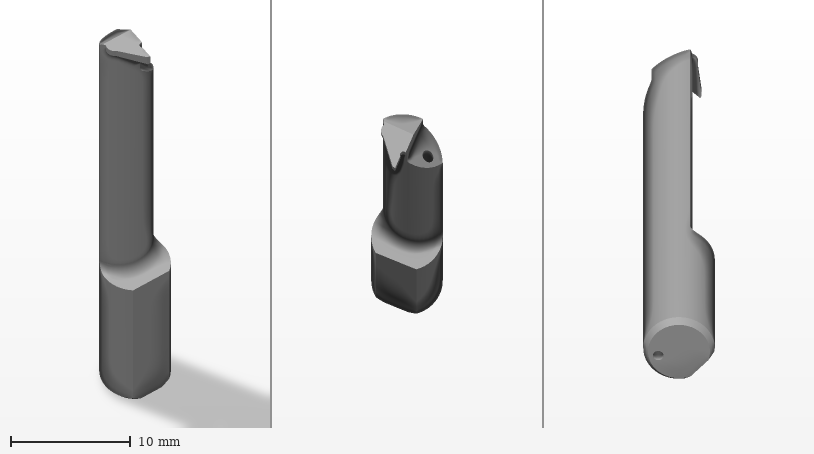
import cadquery as cq
import math

length = 45.0
shank_radius = 2.992
flat_x = 2.362
foot_chamfer_height = 0.6
foot_chamfer_width = 0.4

shoulder_z = 15.0
neck_radius = 2.948
neck_center_x = -2.48
neck_fillet = 0.8

head_height = 1.0
head_bottom_z = length - head_height
head_chamfer = 2.05
rake_y = 0.202
tip_rake_y = -0.1
step_start_x = 0.75
step_middle = (1.0, -0.2)
step_end_x = 1.2
tip_relief_x = 0.1
tip_bottom_y = -0.35
head_heel = (0.2, -2.05)
heel_middle = (-0.338, -2.48)
heel_end_x = -0.788
top_relief_angle = 2.5
bottom_relief_angle = 5.0

runout_z = 38.2
runout_y = 2.7
runout_angle = 48.0
runout_fillet = 0.9

hole_x = -1.0
hole_y = 1.5
hole_diameter = 0.9

margin = 4.5
reach = shank_radius + margin


def make_bar():
    bar = (
        cq.Workplane("XY")
        .circle(shank_radius)
        .extrude(length)
        .faces("<Z")
        .chamfer(foot_chamfer_height, foot_chamfer_width)
    )
    flat_cut = cq.Workplane("XY").box(
        margin, 2 * reach, length, centered=(False, True, False)
    ).translate((flat_x, 0, 0))
    return bar.cut(flat_cut)


def make_neck_cutter():
    """Ring around the neck, with a rounded corner at the shoulder."""
    outer_radius = neck_radius + 2 * reach
    fillet_offset = neck_fillet * (1 - math.sqrt(0.5))
    return (
        cq.Workplane("XZ", origin=(neck_center_x, 0, 0))
        .moveTo(neck_radius + neck_fillet, shoulder_z)
        .lineTo(outer_radius, shoulder_z)
        .lineTo(outer_radius, length + margin)
        .lineTo(neck_radius, length + margin)
        .lineTo(neck_radius, shoulder_z + neck_fillet)
        .threePointArc(
            (neck_radius + fillet_offset, shoulder_z + fillet_offset),
            (neck_radius + neck_fillet, shoulder_z),
        )
        .close()
        .revolve(360, (0, 0, 0), (0, 1, 0))
    )


def make_head():
    """Hooked tip that overhangs the neck, its underside rising towards the heel."""
    heel_end_y = -math.sqrt(neck_radius**2 - (heel_end_x - neck_center_x) ** 2)
    rise = (reach + rake_y) * math.tan(math.radians(bottom_relief_angle))
    bottom_relief = (
        cq.Workplane("YZ")
        .moveTo(rake_y, head_bottom_z)
        .lineTo(-reach, head_bottom_z)
        .lineTo(-reach, head_bottom_z + rise)
        .close()
        .extrude(reach, both=True)
    )
    head = (
        cq.Workplane("XY", origin=(0, 0, head_bottom_z))
        .moveTo(neck_center_x, rake_y)
        .lineTo(step_start_x, rake_y)
        .threePointArc(step_middle, (step_end_x, tip_rake_y))
        .lineTo(flat_x, tip_rake_y)
        .lineTo(flat_x - tip_relief_x, tip_bottom_y)
        .lineTo(*head_heel)
        .threePointArc(heel_middle, (heel_end_x, heel_end_y))
        .lineTo(neck_center_x, heel_end_y)
        .close()
        .extrude(head_height)
    )
    return head.cut(bottom_relief)


def make_rake_cutter():
    """Removes the back half of the bar above a rounded sloping runout."""
    slope = math.tan(math.radians(runout_angle))
    corner_z = runout_z + (runout_y - rake_y) * slope
    outer_z = runout_z - (reach - runout_y) * slope
    return (
        cq.Workplane("YZ")
        .moveTo(rake_y, corner_z)
        .lineTo(reach, outer_z)
        .lineTo(reach, length + margin)
        .lineTo(rake_y, length + margin)
        .close()
        .extrude(reach, both=True)
        .edges(cq.selectors.NearestToPointSelector((0, rake_y, corner_z)))
        .fillet(runout_fillet)
    )


def make_end_chamfer_cutter():
    """45 degree bevel on the side opposite the tip."""
    return (
        cq.Workplane("XZ")
        .moveTo(-shank_radius - margin, length - head_chamfer - margin)
        .lineTo(-shank_radius + head_chamfer + margin, length + margin)
        .lineTo(-shank_radius - margin, length + margin)
        .close()
        .extrude(reach, both=True)
    )


def make_top_relief_cutter():
    """Tilts the end face down from the rake face towards the heel."""
    drop = (reach + rake_y) * math.tan(math.radians(top_relief_angle))
    return (
        cq.Workplane("YZ")
        .moveTo(rake_y, length)
        .lineTo(-reach, length - drop)
        .lineTo(-reach, length + margin)
        .lineTo(rake_y, length + margin)
        .close()
        .extrude(reach, both=True)
    )


coolant_hole = (
    cq.Workplane("XY").center(hole_x, hole_y).circle(hole_diameter / 2).extrude(length)
)

result = (
    make_bar()
    .cut(make_neck_cutter())
    .union(make_head())
    .cut(make_rake_cutter())
    .cut(make_end_chamfer_cutter())
    .cut(make_top_relief_cutter())
    .cut(coolant_hole)
)